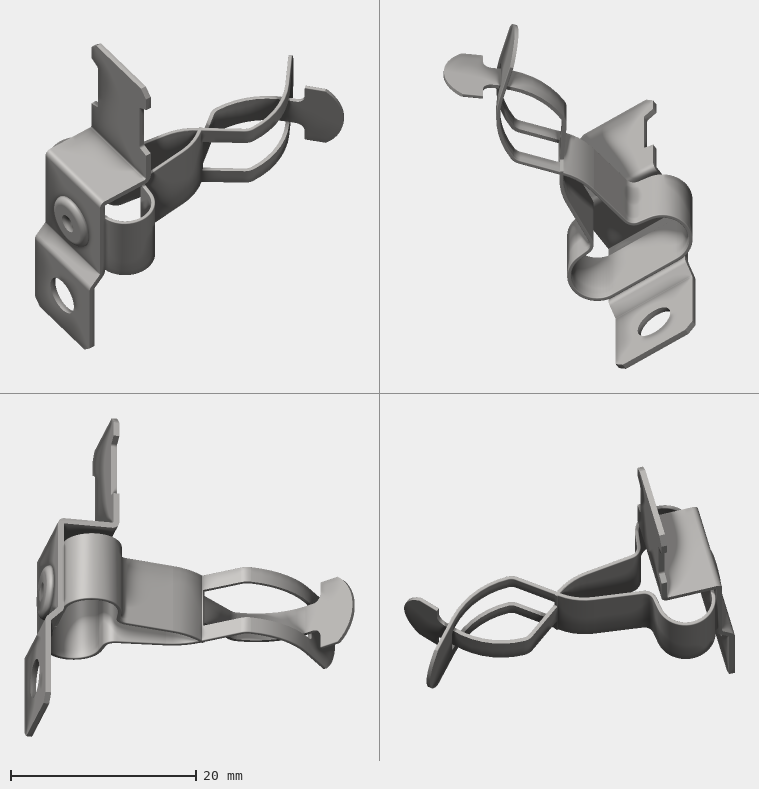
import cadquery as cq
import math


sheet = 0.65
bracket_width = 10.0
bracket_bottom = -15.55
bracket_top = 19.85
soft_bend_radius = sheet / 2 + 0.18
sharp_bend_radius = sheet / 2 + 0.05
foot_bend_z = -5.9
foot_step = 1.4
foot_step_angle = 45.0
shelf_bend_z = 6.0
shelf_step = 6.15
shelf_step_angle = 89.0
corner_chamfer = 0.92
foot_hole_diameter = 4.25
foot_hole_z = -10.55
notch_depth = 1.2
notch_bottom = 10.35
notch_bottom_rise = 0.35
notch_top = 17.3
notch_top_drop = 0.55
notch_corner_radius = 0.3

head_diameter = 6.02
head_flat_diameter = 4.5
head_height = 0.67
shank_diameter = 3.0
dimple_diameter = 2.05
dimple_depth = 0.7

strip = 0.42
strip_width = 7.93
strip_edge_round = 0.1
base_half_length = 4.25
loop_radius = 3.05
leg_lean = 7.2
loop_exit_length = 1.3
leg_foot_radius = 1.25
leg_length = 5.38
neck_radius = 6.95
jaw_lean = 38.1
jaw_flat_length = 5.03
jaw_corner_radius = 1.45
jaw_radius = 9.25
tip_lean = 49.4
tip_length = 6.3
tip_round_radius = 4.9
window_height = 4.32
window_corner_radius = 0.35
tongue_height = 3.25
tongue_root_radius = 1.0
slot_start = 0.53
window_end = 0.7
tongue_end = 2.02

middle_front_y = foot_step
middle_back_y = middle_front_y + sheet


def along(point, heading, distance):
    """The point reached from `point` by going `distance` in direction `heading` (degrees)."""
    angle = math.radians(heading)
    return (point[0] + distance * math.cos(angle), point[1] + distance * math.sin(angle))


def trace(start, heading, moves):
    """Stations (point, heading, is_arc_middle) on a path of ("line", length) and
    ("bend", radius, turn) moves; a positive turn is to the left."""
    stations = [(start, heading, False)]
    point = start
    for move in moves:
        if move[0] == "line":
            point = along(point, heading, move[1])
        else:
            radius, turn = move[1:]
            side = math.copysign(90, turn)
            center = along(point, heading + side, radius)
            middle_heading = heading + turn / 2
            heading += turn
            stations.append((along(center, middle_heading - side, radius), middle_heading, True))
            point = along(center, heading - side, radius)
        stations.append((point, heading, False))
    return stations


def bent_strip(plane, start, heading, moves, thickness, width):
    """A strip of constant thickness that follows the path, centred on the plane."""
    stations = trace(start, heading, moves)

    def draw_side(outline, side_stations, side):
        arc_middle = None
        for point, direction, is_arc_middle in side_stations:
            edge_point = along(point, direction + side, thickness / 2)
            if is_arc_middle:
                arc_middle = edge_point
            elif arc_middle:
                outline = outline.threePointArc(arc_middle, edge_point)
                arc_middle = None
            else:
                outline = outline.lineTo(*edge_point)
        return outline

    first_point, first_heading, _ = stations[0]
    outline = cq.Workplane(plane).moveTo(*along(first_point, first_heading + 90, thickness / 2))
    outline = draw_side(outline, stations[1:], 90)
    outline = draw_side(outline, stations[::-1], -90)
    return outline.close().extrude(width / 2, both=True)


def step_moves(shift, angle, first_radius, second_radius):
    """Two opposite bends and the flat between them, which move the sheet sideways by `shift`,
    and how far they advance it."""
    turn = math.radians(angle)
    radius_sum = first_radius + second_radius
    flat = (shift - radius_sum * (1 - math.cos(turn))) / math.sin(turn)
    moves = [("bend", first_radius, -angle), ("line", flat), ("bend", second_radius, angle)]
    rise = radius_sum * math.sin(turn) + flat * math.cos(turn)
    return moves, rise


def rivet_hole():
    """The bore for the rivet shank through the bracket and the clip."""
    depth = sheet + strip
    return cq.Workplane("XZ", origin=(0, middle_front_y, 0)).circle(shank_diameter / 2).extrude(-depth)


def tab_notch(side):
    """The cutter for one edge notch of the tab; `side` is 1 for +X and -1 for -X."""
    edge_x = side * bracket_width / 2
    floor_x = edge_x - side * notch_depth
    return (
        cq.Workplane("XZ")
        .moveTo(edge_x, notch_bottom)
        .lineTo(floor_x, notch_bottom + notch_bottom_rise)
        .lineTo(floor_x, notch_top - notch_top_drop)
        .lineTo(edge_x, notch_top)
        .close()
        .extrude(-(middle_back_y + shelf_step))
        .edges("|Y")
        .edges("<X" if side > 0 else ">X")
        .fillet(notch_corner_radius)
    )


def make_bracket():
    foot_moves, foot_rise = step_moves(foot_step, foot_step_angle, soft_bend_radius, soft_bend_radius)
    shelf_moves, shelf_rise = step_moves(shelf_step, shelf_step_angle, sharp_bend_radius, soft_bend_radius)
    middle_length = shelf_bend_z - foot_bend_z - foot_rise
    tab_length = bracket_top - shelf_bend_z - shelf_rise
    moves = [("line", foot_bend_z - bracket_bottom)] + foot_moves
    moves += [("line", middle_length)] + shelf_moves + [("line", tab_length)]
    bracket = bent_strip("YZ", (sheet / 2, bracket_bottom), 90, moves, sheet, bracket_width)
    for end in ("<Z", ">Z"):
        bracket = bracket.faces(end).edges("|Y").chamfer(corner_chamfer)
    for side in (1, -1):
        bracket = bracket.cut(tab_notch(side))
    foot_hole = cq.Workplane("XZ").center(0, foot_hole_z).circle(foot_hole_diameter / 2).extrude(-sheet)
    return bracket.cut(foot_hole).cut(rivet_hole())


def make_rivet():
    head_front_y = middle_front_y - head_height
    rivet = (
        cq.Workplane("XY")
        .moveTo(0, head_front_y)
        .lineTo(head_flat_diameter / 2, head_front_y)
        .tangentArcPoint((head_diameter / 2, middle_front_y), relative=False)
        .lineTo(shank_diameter / 2, middle_front_y)
        .lineTo(shank_diameter / 2, middle_back_y + strip)
        .lineTo(0, middle_back_y + strip)
        .close()
        .revolve(360, (0, 0), (0, 1))
    )
    dimple = cq.Workplane(
        obj=cq.Solid.makeCone(
            dimple_diameter / 2, 0, dimple_depth, cq.Vector(0, head_front_y, 0), cq.Vector(0, 1, 0)
        )
    )
    return rivet.cut(dimple)


arm_start = (0, middle_back_y + strip / 2)
arm_moves = [
    ("line", base_half_length),
    ("bend", loop_radius, 180 - leg_lean),
    ("line", loop_exit_length),
    ("bend", leg_foot_radius, 2 * leg_lean - 90),
    ("line", leg_length),
    ("bend", neck_radius, jaw_lean - leg_lean),
    ("line", jaw_flat_length),
    ("bend", jaw_corner_radius, -jaw_lean),
    ("bend", jaw_radius, -tip_lean),
    ("line", tip_length),
]
moves_before_jaw = 6
moves_before_tip = 9


def tip_trimmer():
    """The material beyond the rounded outline of the finger tip."""
    tip_point, tip_heading, _ = trace(arm_start, 0, arm_moves)[-1]
    center = along(tip_point, tip_heading, -tip_round_radius)
    normal = along((0, 0), tip_heading + 90, 1)
    direction = along((0, 0), tip_heading, 1)
    tip_plane = cq.Plane(origin=(*center, 0), xDir=(*direction, 0), normal=(*normal, 0))
    half_width = strip_width / 2
    corner = math.sqrt(tip_round_radius**2 - half_width**2)
    return (
        cq.Workplane(tip_plane)
        .moveTo(corner, -half_width)
        .threePointArc((tip_round_radius, 0), (corner, half_width))
        .lineTo(2 * tip_round_radius, half_width)
        .lineTo(2 * tip_round_radius, -half_width)
        .close()
        .extrude(strip, both=True)
    )


def slot_cutter(tip_distance, bottom_z, top_z):
    """A block around the jaw from slot_start on the jaw flat to tip_distance on the finger tip,
    with both ends square to the strip, and the middle of its tip end."""
    jaw_point, jaw_heading, _ = trace(arm_start, 0, arm_moves[:moves_before_jaw])[-1]
    tip_point, tip_heading, _ = trace(arm_start, 0, arm_moves[:moves_before_tip])[-1]
    start = along(jaw_point, jaw_heading, slot_start)
    end = along(tip_point, tip_heading, tip_distance)
    inner_start = along(start, jaw_heading - 90, strip)
    outer_start = along(start, jaw_heading + 90, strip)
    inner_end = along(end, tip_heading - 90, strip)
    outer_end = along(end, tip_heading + 90, strip)
    far_x = -bracket_width / 2
    far_start = (far_x, outer_start[1])
    far_end = (far_x, outer_end[1])
    cutter = (
        cq.Workplane("XY", origin=(0, 0, bottom_z))
        .polyline([inner_start, outer_start, far_start, far_end, outer_end, inner_end])
        .close()
        .extrude(top_z - bottom_z)
    )
    return cutter, (*end, (bottom_z + top_z) / 2)


def make_arm():
    """The arm that starts to +X and ends at the finger tip, before its slot is cut."""
    arm = bent_strip("XY", arm_start, 0, arm_moves, strip, strip_width)
    return arm.cut(tip_trimmer())


def round_edges(arm):
    """Rounds the upper and lower edges of the strip."""
    return arm.faces("|Z").edges().fillet(strip_edge_round)


def tongue_arm():
    """The arm whose jaw is narrowed to a tongue."""
    relief, end_center = slot_cutter(tongue_end, tongue_height / 2, strip_width)
    end_face = cq.NearestToPointSelector(end_center)
    relief = relief.faces(end_face).edges("<Z").fillet(tongue_root_radius)
    return round_edges(make_arm()).cut(relief).cut(relief.mirror("XY"))


def window_arm():
    """The mirrored arm, whose jaw has a window for the tongue."""
    window, end_center = slot_cutter(window_end, -window_height / 2, window_height / 2)
    end_face = cq.NearestToPointSelector(end_center)
    window = window.faces(end_face).edges("not |Z").fillet(window_corner_radius)
    return round_edges(make_arm()).cut(window).mirror("YZ")


def make_clip():
    return tongue_arm().union(window_arm()).cut(rivet_hole())


bracket = make_bracket()
rivet = make_rivet()
clip = make_clip()
result = cq.Compound.makeCompound([body.solids().val() for body in (bracket, rivet, clip)])